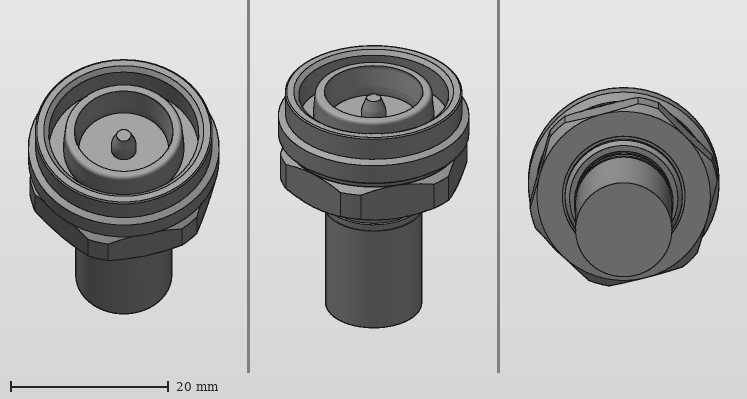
import cadquery as cq
import math


sleeve_radius = 6.1
ring_radius = 6.27
ring_bottom = 14.55
ring_top = 15.5
stem_radius = 5.92
stem_lip_radius = 6.1
stem_lip_bottom = 17.67

collar_radius = 7.43
collar_bottom = 17.83
collar_chamfer_width = 0.57
collar_chamfer_height = 0.47
washer_radius = 7.78
washer_bottom = 19.0

hex_across_flats = 22.0
hex_corner_radius = 12.0
hex_bottom = 19.15
hex_top = 24.07
hex_chamfer_height = 0.65

neck_radius = 10.9
flange_radius = 12.1
flange_bottom = 24.63
flange_lower_edge = 25.35
flange_upper_edge = 27.95
flange_top = 28.35
flange_base_radius = 11.1
shell_radius = 11.2
shell_top = 31.5
shell_chamfer_width = 0.2
shell_chamfer_height = 0.15

bore_radius = 9.5
bore_mouth_radius = 10.15
bore_chamfer_height = 0.5
cavity_floor = 27.45

tube_base_radius = 7.62
tube_tip_radius = 7.43
tube_taper_bottom = 28.65
tube_top = 31.47
tube_rim_radius = 0.5
socket_mouth_radius = 6.25
socket_mouth_depth = 0.4
socket_taper_radius = 5.75
socket_taper_bottom = 28.57
socket_floor_radius = 5.7
socket_ledge = 27.88

pin_radius = 1.58
pin_shoulder_bottom = 28.48
pin_nose_radius = 1.42
pin_nose_bottom = 29.23
pin_tip_radius = 0.9
pin_tip = 30.55
pin_shoulder_bulge = 0.03


def revolve(profile):
    """Turn a closed (radius, height) profile about the Z axis."""
    return profile.close().revolve(360, (0, 0, 0), (0, 1, 0))


def make_cable_end():
    return revolve(
        cq.Workplane("XZ")
        .lineTo(sleeve_radius, 0)
        .lineTo(sleeve_radius, ring_bottom)
        .lineTo(ring_radius, ring_bottom)
        .lineTo(ring_radius, ring_top)
        .lineTo(stem_radius, ring_top)
        .lineTo(stem_radius, stem_lip_bottom)
        .lineTo(stem_lip_radius, stem_lip_bottom)
        .lineTo(stem_lip_radius, collar_bottom)
        .lineTo(collar_radius - collar_chamfer_width, collar_bottom)
        .lineTo(collar_radius, collar_bottom + collar_chamfer_height)
        .lineTo(collar_radius, washer_bottom)
        .lineTo(washer_radius, washer_bottom)
        .lineTo(washer_radius, hex_bottom)
        .lineTo(0, hex_bottom)
    )


def make_hexagon():
    """Hexagon with corners on the Y axis, its corners turned round and chamfered."""
    apothem = hex_across_flats / 2
    prism = (
        cq.Workplane("XY", origin=(0, 0, hex_bottom))
        .polygon(6, hex_across_flats / math.cos(math.pi / 6))
        .extrude(hex_top - hex_bottom)
        .rotate((0, 0, 0), (0, 0, 1), 30)
    )
    turned_blank = revolve(
        cq.Workplane("XZ")
        .moveTo(0, hex_bottom)
        .lineTo(apothem, hex_bottom)
        .lineTo(hex_corner_radius, hex_bottom + hex_chamfer_height)
        .lineTo(hex_corner_radius, hex_top - hex_chamfer_height)
        .lineTo(apothem, hex_top)
        .lineTo(0, hex_top)
    )
    return prism.intersect(turned_blank)


def make_shell():
    return revolve(
        cq.Workplane("XZ")
        .moveTo(0, hex_top)
        .lineTo(neck_radius, hex_top)
        .lineTo(neck_radius, flange_bottom)
        .lineTo(flange_base_radius, flange_bottom)
        .lineTo(flange_radius, flange_lower_edge)
        .lineTo(flange_radius, flange_upper_edge)
        .lineTo(shell_radius, flange_top)
        .lineTo(shell_radius, shell_top - shell_chamfer_height)
        .lineTo(shell_radius - shell_chamfer_width, shell_top)
        .lineTo(bore_mouth_radius, shell_top)
        .lineTo(bore_radius, shell_top - bore_chamfer_height)
        .lineTo(bore_radius, cavity_floor)
        .lineTo(0, cavity_floor)
    )


def make_outer_contact():
    rim_start = tube_top - tube_rim_radius
    return revolve(
        cq.Workplane("XZ")
        .moveTo(socket_floor_radius, cavity_floor)
        .lineTo(tube_base_radius, cavity_floor)
        .lineTo(tube_base_radius, tube_taper_bottom)
        .lineTo(tube_tip_radius, rim_start)
        .radiusArc((tube_tip_radius - tube_rim_radius, tube_top), -tube_rim_radius)
        .lineTo(socket_mouth_radius, tube_top)
        .lineTo(socket_mouth_radius, tube_top - socket_mouth_depth)
        .lineTo(socket_taper_radius, socket_taper_bottom)
        .lineTo(socket_floor_radius, socket_ledge)
    )


def make_centre_pin():
    return revolve(
        cq.Workplane("XZ")
        .moveTo(0, cavity_floor)
        .lineTo(pin_radius, cavity_floor)
        .lineTo(pin_radius, pin_shoulder_bottom)
        .sagittaArc((pin_nose_radius, pin_nose_bottom), -pin_shoulder_bulge)
        .lineTo(pin_tip_radius, pin_tip)
        .lineTo(0, pin_tip)
    )


result = (
    make_cable_end()
    .union(make_hexagon())
    .union(make_shell())
    .union(make_outer_contact())
    .union(make_centre_pin())
)